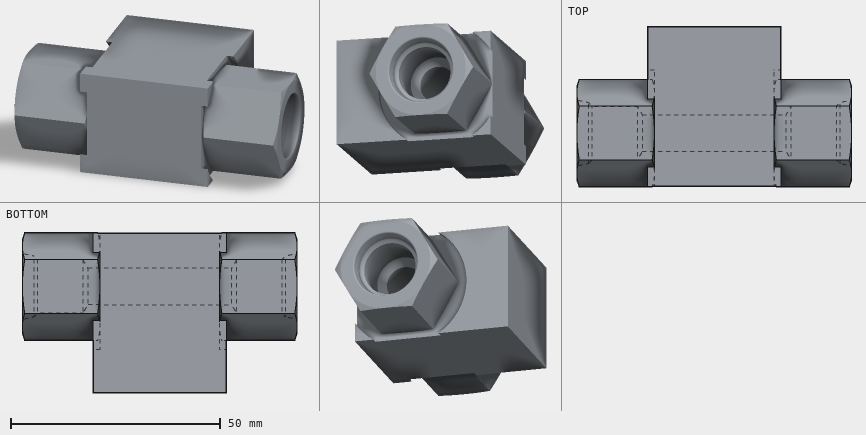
import cadquery as cq
import math


overall_length = 65.5
housing_length = 31.8
housing_height = 25.4
housing_front_y = -12.7
housing_back_y = 25.35
recess_diameter = 30.15
recess_depth = 1.65
through_bore_diameter = 8.7

across_flats = 22.2
corner_chamfer_angle = 18.0
mouth_diameter = 15.7
mouth_fillet_radius = 0.4
seat_end_diameter = 14.55
counterbore_diameter = 12.8
seat_end_depth = 2.75
counterbore_end_depth = 14.4
shoulder_half_angle = 45.0
drill_tip_half_angle = 59.0

nut_end_x = overall_length / 2
recess_floor_x = housing_length / 2 - recess_depth
nut_length = nut_end_x - recess_floor_x
across_corners = across_flats / math.cos(math.radians(30))


def x_cylinder(diameter, start_x, length):
    """Cylinder along +X that starts at start_x."""
    return cq.Workplane("YZ", origin=(start_x, 0, 0)).circle(diameter / 2).extrude(length)


def revolve_about_x(profile):
    """Solid of revolution about X from (x, radius) points."""
    return cq.Workplane("XY").polyline(profile).close().revolve(360, (0, 0, 0), (1, 0, 0))


def make_housing():
    """Block with a round recess for a nut in each end and a bore through both recesses."""
    block = cq.Workplane("XY").box(
        housing_length,
        housing_back_y - housing_front_y,
        housing_height,
    )
    block = block.translate((0, (housing_front_y + housing_back_y) / 2, 0))
    for start_x in (recess_floor_x, -housing_length / 2):
        block = block.cut(x_cylinder(recess_diameter, start_x, recess_depth))
    return block.cut(x_cylinder(through_bore_diameter, -housing_length / 2, housing_length))


def make_chamfer_envelope():
    """Round barrel whose conical ends trim the corners of the hexagon."""
    flat_radius = across_flats / 2
    corner_radius = across_corners / 2
    chamfer_depth = (corner_radius - flat_radius) * math.tan(math.radians(corner_chamfer_angle))
    return revolve_about_x([
        (recess_floor_x, 0),
        (recess_floor_x, flat_radius),
        (recess_floor_x + chamfer_depth, corner_radius),
        (nut_end_x - chamfer_depth, corner_radius),
        (nut_end_x, flat_radius),
        (nut_end_x, 0),
    ])


def make_nut_bore():
    """Stepped and tapered bore, widest at the outer end of the nut."""
    bore_radius = through_bore_diameter / 2
    counterbore_radius = counterbore_diameter / 2
    drill_tip_depth = (counterbore_radius - bore_radius) / math.tan(math.radians(drill_tip_half_angle))
    seat_end_radius = seat_end_diameter / 2
    shoulder_depth = (seat_end_radius - counterbore_radius) / math.tan(math.radians(shoulder_half_angle))
    counterbore_start_depth = seat_end_depth + shoulder_depth
    return revolve_about_x([
        (nut_end_x, 0),
        (nut_end_x, mouth_diameter / 2),
        (nut_end_x - seat_end_depth, seat_end_radius),
        (nut_end_x - counterbore_start_depth, counterbore_radius),
        (nut_end_x - counterbore_end_depth, counterbore_radius),
        (nut_end_x - counterbore_end_depth - drill_tip_depth, bore_radius),
        (recess_floor_x, bore_radius),
        (recess_floor_x, 0),
    ])


def make_nut():
    """Nut on the +X side, with two flats level and its inner end on the recess floor."""
    hexagon = (
        cq.Workplane("YZ", origin=(recess_floor_x, 0, 0))
        .polygon(6, across_corners)
        .extrude(nut_length)
    )
    nut = hexagon.intersect(make_chamfer_envelope()).cut(make_nut_bore())
    mouth_edge = nut.faces(">X").wires(cq.selectors.RadiusNthSelector(0)).edges()
    return mouth_edge.fillet(mouth_fillet_radius)


housing = make_housing()

nuts = []
for turn in (0, 180):
    nuts.append(make_nut().rotate((0, 0, 0), (0, 0, 1), turn))

result = cq.Compound.makeCompound([housing.val(), *[nut.val() for nut in nuts]])